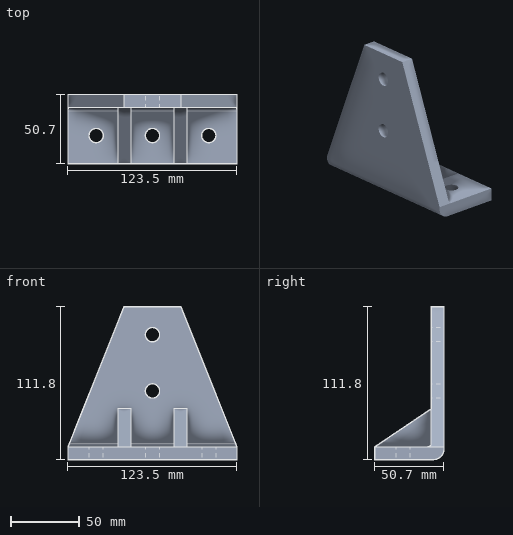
import cadquery as cq

length = 123.5
depth = 50.7
height = 111.8
thickness = 9.5
top_width = 41.7
outer_radius = 8.0
inner_radius = 2.5
hole_diameter = 10.2
hole_pitch = 41.1
base_hole_y = 20.7
lower_hole_z = 50.2
rib_top_z = 37.3
rib_pitch = hole_pitch

wall_front_y = depth - thickness


def make_base():
    """Flat base with its lower rear edge rounded."""
    base = cq.Workplane("XY").box(length, depth, thickness, centered=(True, False, False))
    return base.edges("|X and >Y and <Z").fillet(outer_radius)


def make_wall():
    """Upright trapezoidal wall standing on the rear of the base."""
    outline = [
        (-length / 2, thickness),
        (length / 2, thickness),
        (top_width / 2, height),
        (-top_width / 2, height),
    ]
    return (
        cq.Workplane("XZ", origin=(0, depth, 0))
        .polyline(outline)
        .close()
        .extrude(thickness)
    )


def make_rib(x):
    """Triangular rib centred at x, between the wall and the front edge of the base."""
    return (
        cq.Workplane("YZ", origin=(x, 0, 0))
        .moveTo(0, thickness)
        .lineTo(wall_front_y, thickness)
        .lineTo(wall_front_y, rib_top_z)
        .close()
        .extrude(thickness / 2, both=True)
    )


bracket = make_base().union(make_wall())

inner_corner = cq.selectors.NearestToPointSelector((0, wall_front_y, thickness))
bracket = bracket.edges(inner_corner).fillet(inner_radius)

for side in (-1, 1):
    bracket = bracket.union(make_rib(side * rib_pitch / 2))

base_holes = (
    cq.Workplane("XY")
    .pushPoints([(i * hole_pitch, base_hole_y) for i in (-1, 0, 1)])
    .circle(hole_diameter / 2)
    .extrude(thickness)
)

wall_holes = (
    cq.Workplane("XZ", origin=(0, depth, 0))
    .pushPoints([(0, lower_hole_z + i * hole_pitch) for i in (0, 1)])
    .circle(hole_diameter / 2)
    .extrude(thickness)
)

result = bracket.cut(base_holes).cut(wall_holes)